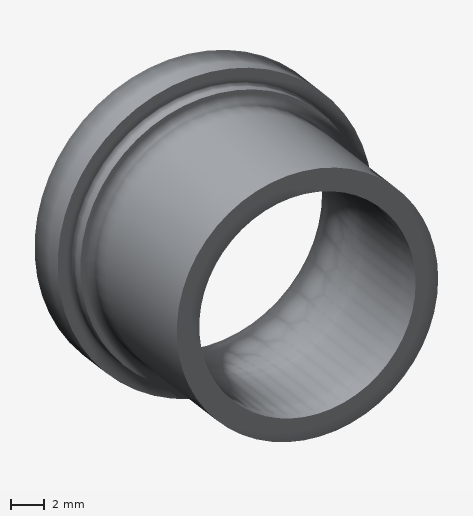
import cadquery as cq
import math

length = 15.0
flange_radius = 21.0 / 2
flange_width = 3.0
collar_radius = 19.0 / 2
collar_end = 4.0
sleeve_radius = 17.4 / 2
collar_fillet = 0.5
flange_fillet = 0.1
bore_radius = 14.4 / 2

mouth_round = 1.0
taper_angle = math.radians(10.4)
throat_round = 15.0
bore_start = 8.0


def outer_body():
    """Solid flange, collar and sleeve, with fillets at the feet of flange and collar."""
    mid_arc_factor = 1 - math.sqrt(0.5)
    fillet_end = collar_end + collar_fillet
    fillet_top = sleeve_radius + collar_fillet
    collar_offset = collar_fillet * mid_arc_factor
    collar_fillet_middle = (collar_end + collar_offset, sleeve_radius + collar_offset)
    flange_offset = flange_fillet * mid_arc_factor
    flange_fillet_middle = (flange_width + flange_offset, collar_radius + flange_offset)
    profile = (
        cq.Workplane("XY")
        .lineTo(0, flange_radius)
        .lineTo(flange_width, flange_radius)
        .lineTo(flange_width, collar_radius + flange_fillet)
        .threePointArc(flange_fillet_middle, (flange_width + flange_fillet, collar_radius))
        .lineTo(collar_end, collar_radius)
        .lineTo(collar_end, fillet_top)
        .threePointArc(collar_fillet_middle, (fillet_end, sleeve_radius))
        .lineTo(length, sleeve_radius)
        .lineTo(length, 0)
        .close()
    )
    return profile.revolve(360, (0, 0, 0), (1, 0, 0))


def bore():
    """Cutter for the bore: rounded mouth, taper, rounded throat and cylinder."""
    throat_center_radius = bore_radius + throat_round

    def throat_point(angle):
        return (
            bore_start - throat_round * math.sin(angle),
            throat_center_radius - throat_round * math.cos(angle),
        )

    taper_end = throat_point(taper_angle)
    taper_start_x = mouth_round * (1 - math.sin(taper_angle))
    taper_start_radius = taper_end[1] + (taper_end[0] - taper_start_x) * math.tan(taper_angle)
    mouth_radius = taper_start_radius + mouth_round * math.cos(taper_angle)
    mouth_middle_angle = (math.pi / 2 + taper_angle) / 2
    mouth_middle = (
        mouth_round * (1 - math.sin(mouth_middle_angle)),
        mouth_radius - mouth_round * math.cos(mouth_middle_angle),
    )
    profile = (
        cq.Workplane("XY")
        .lineTo(0, mouth_radius)
        .threePointArc(mouth_middle, (taper_start_x, taper_start_radius))
        .lineTo(*taper_end)
        .threePointArc(throat_point(taper_angle / 2), (bore_start, bore_radius))
        .lineTo(length, bore_radius)
        .lineTo(length, 0)
        .close()
    )
    return profile.revolve(360, (0, 0, 0), (1, 0, 0))


result = outer_body().cut(bore())